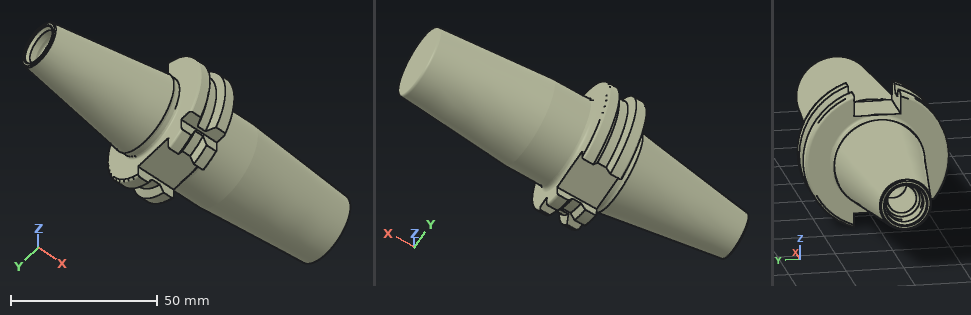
import cadquery as cq
import math


gauge_radius = 31.75 / 2
radius_per_length = 7 / 48
shank_end_x = -47.65
shank_edge_chamfer = 0.4
taper_end_x = -0.6
relief_radius = 15.5
relief_start_x = 0.5
relief_fillet = 1.1

flange_start_x = 3.2
flange_width = 15.85
flange_radius = 25.0
flange_edge_fillet = 1.0
groove_center_x = 11.15
groove_floor_width = 3.5
groove_depth = 2.85
groove_flank_angle = 30.0

body_radius = 17.0
body_fillet = 2.0
nose_x = 80.0
nose_radius = 13.5
nose_angle = 4.5
nose_edge_fillet = 1.0

slot_width = 16.15
top_slot_floor = 16.3
bottom_slot_floor = 18.5
notch_offset = 15.0

mouth_radius = 7.65
center_radius = 7.3
pilot_radius = 6.5
thread_major_radius = 6.0
thread_minor_radius = 5.0
mouth_half_angle = 60.0
center_half_angle = 30.0
pilot_depth = 5.8
undercut_start_depth = 4.0
undercut_ramp_length = 1.0
undercut_growth = 0.3
undercut_fillet = 0.4
thread_depth = 24.0
drill_half_angle = 59.0

flange_end_x = flange_start_x + flange_width
cone_start_x = nose_x - (body_radius - nose_radius) / math.tan(math.radians(nose_angle))


def taper_radius(x):
    return gauge_radius + radius_per_length * x


def arc_point(center_x, center_r, radius, angle):
    """Point on an arc at an angle measured from +X toward larger radius."""
    return (center_x + radius * math.cos(angle), center_r + radius * math.sin(angle))


def arc_middle(center_x, center_r, radius, x_side, r_side):
    """Middle point of a quarter arc; the sides (+1 or -1) pick its quadrant about the center."""
    return arc_point(center_x, center_r, radius, math.atan2(r_side, x_side))


def turned_body():
    relief_fillet_x = flange_start_x - relief_fillet
    relief_fillet_r = relief_radius + relief_fillet
    body_fillet_x = flange_end_x + body_fillet
    body_fillet_r = body_radius + body_fillet
    flange_edge_r = flange_radius - flange_edge_fillet
    groove_floor_r = flange_radius - groove_depth
    floor_half = groove_floor_width / 2
    mouth_half = floor_half + groove_depth * math.tan(math.radians(groove_flank_angle))
    nose_fillet_x = nose_x - nose_edge_fillet
    nose_slope = math.radians(nose_angle)
    cone_r = nose_radius + nose_edge_fillet * math.tan(nose_slope)
    nose_fillet_r = cone_r - nose_edge_fillet / math.cos(nose_slope)
    nose_tangent = arc_point(nose_fillet_x, nose_fillet_r, nose_edge_fillet, math.pi / 2 - nose_slope)
    nose_arc_middle = arc_point(
        nose_fillet_x, nose_fillet_r, nose_edge_fillet, math.pi / 4 - nose_slope / 2
    )
    chamfer_end_x = shank_end_x + shank_edge_chamfer

    return (
        cq.Workplane("XY")
        .moveTo(shank_end_x, 0)
        .lineTo(shank_end_x, taper_radius(shank_end_x) - shank_edge_chamfer)
        .lineTo(chamfer_end_x, taper_radius(chamfer_end_x))
        .lineTo(taper_end_x, taper_radius(taper_end_x))
        .lineTo(relief_start_x, relief_radius)
        .lineTo(relief_fillet_x, relief_radius)
        .threePointArc(
            arc_middle(relief_fillet_x, relief_fillet_r, relief_fillet, 1, -1),
            (flange_start_x, relief_fillet_r),
        )
        .lineTo(flange_start_x, flange_edge_r)
        .threePointArc(
            arc_middle(flange_start_x + flange_edge_fillet, flange_edge_r, flange_edge_fillet, -1, 1),
            (flange_start_x + flange_edge_fillet, flange_radius),
        )
        .lineTo(groove_center_x - mouth_half, flange_radius)
        .lineTo(groove_center_x - floor_half, groove_floor_r)
        .lineTo(groove_center_x + floor_half, groove_floor_r)
        .lineTo(groove_center_x + mouth_half, flange_radius)
        .lineTo(flange_end_x - flange_edge_fillet, flange_radius)
        .threePointArc(
            arc_middle(flange_end_x - flange_edge_fillet, flange_edge_r, flange_edge_fillet, 1, 1),
            (flange_end_x, flange_edge_r),
        )
        .lineTo(flange_end_x, body_fillet_r)
        .threePointArc(
            arc_middle(body_fillet_x, body_fillet_r, body_fillet, -1, -1),
            (body_fillet_x, body_radius),
        )
        .lineTo(cone_start_x, body_radius)
        .lineTo(*nose_tangent)
        .threePointArc(nose_arc_middle, (nose_x, nose_fillet_r))
        .lineTo(nose_x, 0)
        .close()
        .revolve(360, (0, 0, 0), (1, 0, 0))
    )


def flange_cut(y_min, y_max, z_min, z_max):
    """Block across the flange and the body fillet that leaves the body cylinder standing."""
    length = flange_width + body_fillet
    block = (
        cq.Workplane("XY")
        .box(length, y_max - y_min, z_max - z_min, centered=False)
        .translate((flange_start_x, y_min, z_min))
    )
    kept_cylinder = (
        cq.Workplane("YZ").workplane(offset=flange_end_x).circle(body_radius).extrude(body_fillet)
    )
    return block.cut(kept_cylinder)


def cone_length(large_radius, small_radius, half_angle):
    return (large_radius - small_radius) / math.tan(math.radians(half_angle))


def threaded_bore():
    center_x = shank_end_x + cone_length(mouth_radius, center_radius, mouth_half_angle)
    pilot_start = center_x + cone_length(center_radius, pilot_radius, center_half_angle)
    undercut_start = shank_end_x + undercut_start_depth
    undercut_radius = pilot_radius + undercut_growth
    thread_start = shank_end_x + pilot_depth
    undercut_fillet_x = thread_start - undercut_fillet
    undercut_fillet_r = undercut_radius - undercut_fillet
    thread_chamfer = thread_major_radius - thread_minor_radius
    thread_end = shank_end_x + thread_depth
    tip_length = cone_length(thread_minor_radius, 0, drill_half_angle)
    return (
        cq.Workplane("XY")
        .moveTo(shank_end_x, 0)
        .lineTo(shank_end_x, mouth_radius)
        .lineTo(center_x, center_radius)
        .lineTo(pilot_start, pilot_radius)
        .lineTo(undercut_start, pilot_radius)
        .lineTo(undercut_start + undercut_ramp_length, undercut_radius)
        .lineTo(undercut_fillet_x, undercut_radius)
        .threePointArc(
            arc_middle(undercut_fillet_x, undercut_fillet_r, undercut_fillet, 1, 1),
            (thread_start, undercut_fillet_r),
        )
        .lineTo(thread_start, thread_major_radius)
        .lineTo(thread_start + thread_chamfer, thread_minor_radius)
        .lineTo(thread_end, thread_minor_radius)
        .lineTo(thread_end + tip_length, 0)
        .close()
        .revolve(360, (0, 0, 0), (1, 0, 0))
    )


slot_half = slot_width / 2
top_slot = flange_cut(-slot_half, slot_half, top_slot_floor, flange_radius)
bottom_slot = flange_cut(-slot_half, slot_half, -flange_radius, -bottom_slot_floor)
orientation_notch = flange_cut(-flange_radius, -notch_offset, -flange_radius, -notch_offset)

result = turned_body().cut(top_slot).cut(bottom_slot).cut(orientation_notch).cut(threaded_bore())